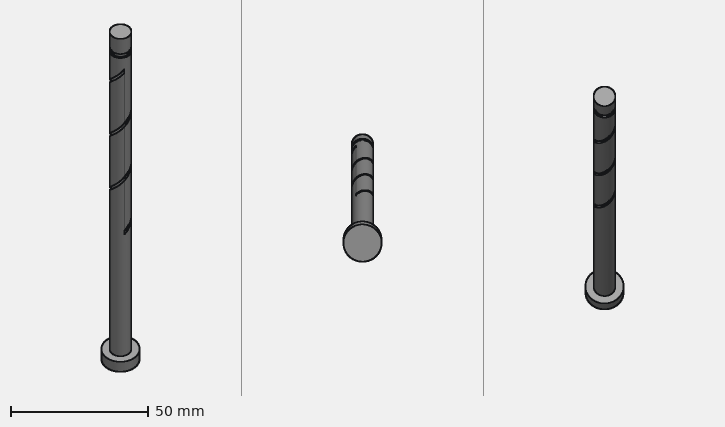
import cadquery as cq

total_length = 162.0
head_diameter = 14.0
head_height = 5.0
shaft_diameter = 8.0
shaft_radius = shaft_diameter / 2

tip_length = 7.5
ring_groove_width = 2.0
ring_groove_diameter = 6.6

spiral_length = 80.0
spiral_turns = 3
spiral_top_offset = 16.2
spiral_depth = 0.6
spiral_section_radius = 0.8

spiral_pitch = spiral_length / spiral_turns
spiral_bottom = total_length - spiral_top_offset - spiral_length


def make_pin():
    """Round head with a plain shaft standing on it."""
    head = cq.Workplane("XY").circle(head_diameter / 2).extrude(head_height)
    shaft = cq.Workplane("XY").circle(shaft_radius).extrude(total_length)
    return head.union(shaft)


def make_ring_groove():
    """Ring that cuts the square groove below the tip."""
    return (
        cq.Workplane("XY")
        .workplane(offset=total_length - tip_length - ring_groove_width)
        .circle(head_diameter / 2)
        .circle(ring_groove_diameter / 2)
        .extrude(ring_groove_width)
    )


def make_spiral_groove():
    """Circular section swept along a helix so that it dips into the shaft surface."""
    path_radius = shaft_radius - spiral_depth + spiral_section_radius
    path = cq.Wire.makeHelix(spiral_pitch, spiral_length, path_radius)
    cutter = (
        cq.Workplane("XZ")
        .center(path_radius, 0)
        .circle(spiral_section_radius)
        .sweep(cq.Workplane(obj=path), isFrenet=True)
    )
    return cutter.translate((0, 0, spiral_bottom))


result = make_pin().cut(make_ring_groove()).cut(make_spiral_groove())